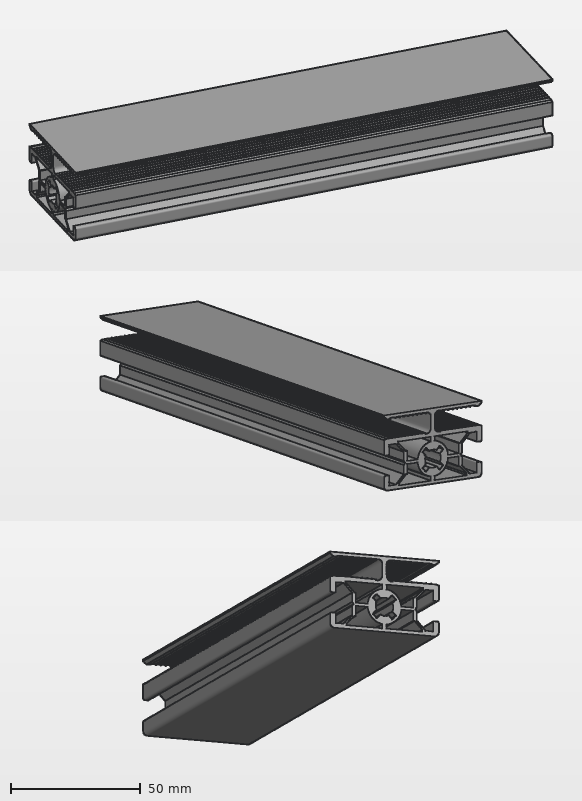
import cadquery as cq

LENGTH = 200.0
WIDTH = 45.0
HEIGHT = 30.0
HALF_WIDTH = WIDTH / 2

BODY_TOP = 20.5
VALLEY_DEPTH = 0.5
VALLEY_HALF_WIDTH = 3.5
TOP_CORNER_DROP = 0.5
TOP_CORNER_WIDTH = 1.2
AXIS_Z = 10.0
BOTTOM_CORNER_RADIUS = 1.8
CHAMBER_CEILING = 18.8
CHAMBER_FLOOR = 1.5

LIP_THICKNESS = 2.5
LIP_OUTER_RADIUS = 0.8
LIP_INNER_RADIUS = 0.5
SLOT_OPENING = 8.0
SLOT_HEIGHT = 16.2
SLOT_BACK_X = 13.5
SLOT_BACK_HALF_HEIGHT = 4.5
SLOT_CORNER_X = 17.0
NOTCH_DEPTH = 0.5
NOTCH_HALF_HEIGHT = 0.8

SLOT_WALL_INNER_X = 11.8
SLOT_WALL_HALF_HEIGHT = 4.5
UPPER_CHAMBER_CORNER_X = 16.0
LOWER_CHAMBER_CORNER_X = 15.5
DIAGONAL_WALL_X = 12.5
WEB_THICKNESS = 1.2
NECK_THICKNESS = 1.8

TUBE_RADIUS = 7.0
PORT_RADIUS = 3.5
PORT_SLOT_REACH = 5.5
PORT_SLOT_WIDTH = 2.2

PLATE_THICKNESS = 1.5
PLATE_EDGE_THICKNESS = 0.5
PLATE_EDGE_INSET = 1.5
BEAD_WIDTH = 1.5
BEAD_DEPTH = 0.5
STEM_THICKNESS = 1.8
STEM_HEAD_FILLET = 1.8
STEM_FOOT_FILLET = 2.2
PLATE_TOOTH_HEIGHT = 0.5
BODY_TOOTH_HEIGHT = 0.2
TOOTH_WIDTH = 0.5
TOOTH_ROOT = 0.2
TOOTH_PITCH = 2.0
FIRST_TOOTH_X = 3.2
PLATE_TEETH = 8
BODY_TEETH = 8

PLATE_BOTTOM = HEIGHT - PLATE_THICKNESS
VALLEY_Z = BODY_TOP - VALLEY_DEPTH
STEM_HALF = STEM_THICKNESS / 2


def section():
    """Sketch plane at the +Y end: local axes are X and Z, and extrusion runs towards -Y."""
    return cq.Workplane("XZ", origin=(0, LENGTH / 2, 0))


def bar(points):
    """Full-length solid with the given (x, z) outline."""
    return section().polyline(points).close().extrude(LENGTH)


def both_sides(solid):
    """The solid joined with its mirror image across the YZ plane."""
    return solid.union(solid.mirror("YZ"))


def make_slot():
    """T-slot on the +X side with a shallow V groove along its back wall."""
    half_slot = SLOT_HEIGHT / 2
    half_opening = SLOT_OPENING / 2
    lip_x = HALF_WIDTH - LIP_THICKNESS
    upper = [
        (HALF_WIDTH, half_opening),
        (lip_x, half_opening),
        (lip_x, half_slot),
        (SLOT_CORNER_X, half_slot),
        (SLOT_BACK_X, SLOT_BACK_HALF_HEIGHT),
        (SLOT_BACK_X, NOTCH_HALF_HEIGHT),
    ]
    lower = [(x, -z) for x, z in reversed(upper)]
    outline = upper + [(SLOT_BACK_X - NOTCH_DEPTH, 0)] + lower
    return bar([(x, AXIS_Z + z) for x, z in outline])


def make_chamber(end_z, corner_x, direction):
    """Hollow between the web and the ceiling (direction 1) or the floor (direction -1)."""
    corner_height = SLOT_WALL_HALF_HEIGHT + (corner_x - DIAGONAL_WALL_X)
    web_z = AXIS_Z + direction * WEB_THICKNESS / 2
    wall_z = AXIS_Z + direction * SLOT_WALL_HALF_HEIGHT
    return bar([
        (NECK_THICKNESS / 2, web_z),
        (SLOT_WALL_INNER_X, web_z),
        (SLOT_WALL_INNER_X, wall_z),
        (DIAGONAL_WALL_X, wall_z),
        (corner_x, AXIS_Z + direction * corner_height),
        (corner_x, end_z),
        (NECK_THICKNESS / 2, end_z),
    ])


def make_screw_port():
    """Round bore crossed by two diagonal slots."""
    port = section().center(0, AXIS_Z).circle(PORT_RADIUS).extrude(LENGTH)
    for angle in (45, 135):
        slot = section().center(0, AXIS_Z).rect(2 * PORT_SLOT_REACH, PORT_SLOT_WIDTH).extrude(LENGTH)
        port = port.union(slot.rotate((0, 0, AXIS_Z), (0, 1, AXIS_Z), angle))
    return port


def make_teeth(first_x, count, height, base_z, direction):
    """Triangular ridges on one side of the stem, pointing up (1) or down (-1)."""
    root_z = base_z - direction * TOOTH_ROOT
    teeth = cq.Workplane()
    for i in range(count):
        x = first_x + i * TOOTH_PITCH
        teeth = teeth.add(bar([
            (x - TOOTH_WIDTH / 2, root_z),
            (x - TOOTH_WIDTH / 2, base_z),
            (x, base_z + direction * height),
            (x + TOOTH_WIDTH / 2, base_z),
            (x + TOOTH_WIDTH / 2, root_z),
        ]))
    return teeth.combine()


def round_lips(body, edge_x, radius):
    """Round the four lip-end edges lying at -edge_x and edge_x."""
    for x in (-edge_x, edge_x):
        for z in (AXIS_Z - SLOT_OPENING / 2, AXIS_Z + SLOT_OPENING / 2):
            near_edge = cq.selectors.NearestToPointSelector((x, 0, z))
            body = body.edges("|Y").edges(near_edge).fillet(radius)
    return body


def make_body():
    """Box section with its slots, chambers, tube and screw port."""
    shoulder_z = BODY_TOP - TOP_CORNER_DROP
    half_outline = [
        (HALF_WIDTH, 0),
        (HALF_WIDTH, shoulder_z),
        (HALF_WIDTH - TOP_CORNER_WIDTH, BODY_TOP),
        (VALLEY_HALF_WIDTH, BODY_TOP),
        (VALLEY_HALF_WIDTH, VALLEY_Z),
    ]
    body = bar(half_outline + [(-x, z) for x, z in reversed(half_outline)])
    body = body.edges("|Y and <Z").fillet(BOTTOM_CORNER_RADIUS)
    body = body.cut(both_sides(make_slot()))
    body = body.cut(both_sides(make_chamber(CHAMBER_CEILING, UPPER_CHAMBER_CORNER_X, 1)))
    body = body.cut(both_sides(make_chamber(CHAMBER_FLOOR, LOWER_CHAMBER_CORNER_X, -1)))
    body = round_lips(body, HALF_WIDTH, LIP_OUTER_RADIUS)
    body = round_lips(body, HALF_WIDTH - LIP_THICKNESS, LIP_INNER_RADIUS)
    tube = section().center(0, AXIS_Z).circle(TUBE_RADIUS).extrude(LENGTH)
    return body.union(tube).cut(make_screw_port())


def make_top():
    """One half of the plate and its stem."""
    valley_x = STEM_HALF + STEM_FOOT_FILLET
    bead_bottom = PLATE_BOTTOM - BEAD_DEPTH
    bead_outer_x = HALF_WIDTH - PLATE_EDGE_INSET
    bead_inner_x = bead_outer_x - BEAD_WIDTH
    return (
        section()
        .moveTo(0, VALLEY_Z)
        .lineTo(valley_x, VALLEY_Z)
        .radiusArc((STEM_HALF, VALLEY_Z + STEM_FOOT_FILLET), STEM_FOOT_FILLET)
        .lineTo(STEM_HALF, PLATE_BOTTOM - STEM_HEAD_FILLET)
        .radiusArc((STEM_HALF + STEM_HEAD_FILLET, PLATE_BOTTOM), STEM_HEAD_FILLET)
        .lineTo(bead_inner_x, PLATE_BOTTOM)
        .lineTo(bead_inner_x, bead_bottom)
        .lineTo(bead_outer_x, bead_bottom)
        .lineTo(HALF_WIDTH, HEIGHT - PLATE_EDGE_THICKNESS)
        .lineTo(HALF_WIDTH, HEIGHT)
        .lineTo(0, HEIGHT)
        .close()
        .extrude(LENGTH)
    )


plate_teeth = make_teeth(FIRST_TOOTH_X, PLATE_TEETH, PLATE_TOOTH_HEIGHT, PLATE_BOTTOM, -1)
body_teeth = make_teeth(FIRST_TOOTH_X + TOOTH_PITCH, BODY_TEETH, BODY_TOOTH_HEIGHT, BODY_TOP, 1)

result = make_body()
for half in (make_top(), plate_teeth, body_teeth):
    result = result.union(both_sides(half))